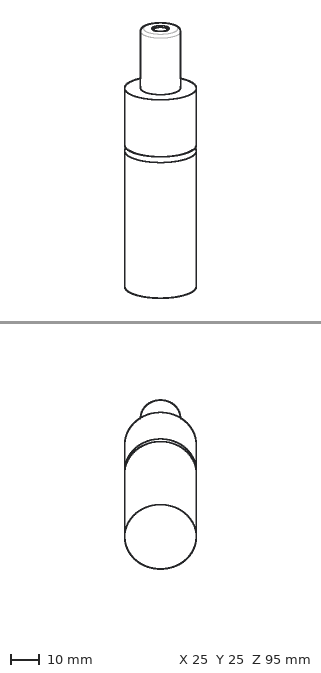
import cadquery as cq
import math

total_length = 95.0
body_diameter = 25.0
body_length = 73.1
rod_diameter = 14.0
rod_edge_radius = 1.0
groove_radius = 1.0
groove_bottom_edge = 50.0
hole_diameter = 5.0
hole_mouth_diameter = 6.0
hole_depth = 12.0
drill_point_angle = 118.0

rod_length = total_length - body_length
groove_center_height = groove_bottom_edge + groove_radius
hole_radius = hole_diameter / 2
mouth_radius = hole_mouth_diameter / 2
mouth_chamfer = mouth_radius - hole_radius
drill_point_length = hole_radius / math.tan(math.radians(drill_point_angle / 2))


def make_body():
    """Cylindrical body standing on the XY plane."""
    return cq.Workplane("XY").circle(body_diameter / 2).extrude(body_length)


def make_rod():
    """Rod on top of the body, with a rounded upper edge."""
    rod = cq.Workplane("XY").workplane(offset=body_length).circle(rod_diameter / 2).extrude(rod_length)
    return rod.faces(">Z").edges().fillet(rod_edge_radius)


def make_groove():
    """Ring of round section that cuts the groove around the body."""
    section = cq.Workplane("XZ").center(body_diameter / 2, groove_center_height).circle(groove_radius)
    axis_offset = -body_diameter / 2
    return section.revolve(360, (axis_offset, 0, 0), (axis_offset, 1, 0))


def make_hole():
    """Drilled blind hole with a conical bottom and a chamfered mouth."""
    hole_floor = total_length - hole_depth
    profile = (
        cq.Workplane("XZ")
        .moveTo(0, hole_floor - drill_point_length)
        .lineTo(hole_radius, hole_floor)
        .lineTo(hole_radius, total_length - mouth_chamfer)
        .lineTo(mouth_radius, total_length)
        .lineTo(0, total_length)
        .close()
    )
    return profile.revolve(360, (0, 0, 0), (0, 1, 0))


result = make_body().union(make_rod()).cut(make_groove()).cut(make_hole())